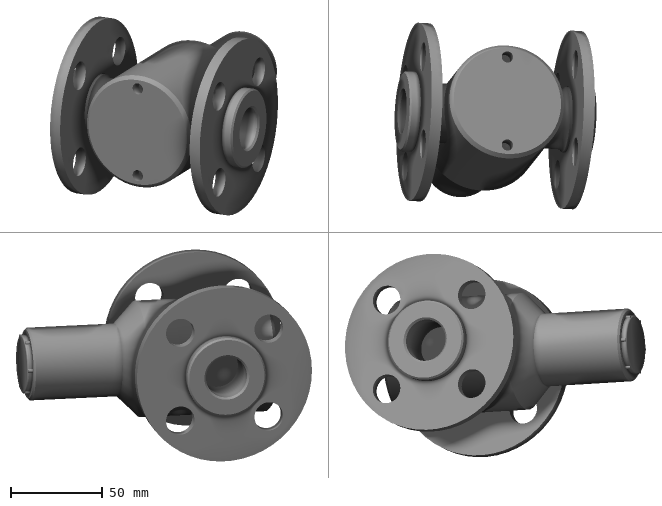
import cadquery as cq
import math


HOUSING_RADIUS = 64.0 / 2
HOUSING_FRONT_Y = -32.8
HOUSING_CHAMFER = 2.0
JOINT_Y = 21.6
FRONT_HOLE_DIAMETER = 6.3
FRONT_HOLE_OFFSET = 25.0
FRONT_HOLE_DEPTH = 7.7
SOCKET_FLOOR_X = 26.0

FLANGE_RADIUS = 98.0 / 2
FLANGE_THICKNESS = 6.1
FLANGE_INNER_X = 39.5
FLANGE_OUTER_X = FLANGE_INNER_X + FLANGE_THICKNESS
FLANGE_BORE_DIAMETER = 36.5
BOLT_HOLE_DIAMETER = 16.0
BOLT_SPACING = 49.5

STUB_END_X = 104.5 / 2
NECK_RADIUS = 32.8 / 2
COLLAR_RADIUS = 36.0 / 2
COLLAR_INNER_X = 38.2
COLLAR_FILLET_RADIUS = 3.0
RIM_RADIUS = 44.0 / 2
RIM_OUTER_CHAMFER = 0.9
RIM_INNER_CHAMFER = 0.6
BORE_RADIUS = 23 / 2
BORE_CHAMFER = 1.0

OVERALL_LENGTH = 153.2
MOTOR_RADIUS = 40.0 / 2
CONE_START_Y = 39.7
CONE_END_Y = CONE_START_Y + HOUSING_RADIUS - MOTOR_RADIUS
CAP_END_Y = OVERALL_LENGTH - FLANGE_RADIUS
CAP_HEIGHT = 2.9
MOTOR_END_Y = CAP_END_Y - CAP_HEIGHT
MOTOR_CHAMFER = 1.0
CAP_RADIUS = 16.1
CAP_FILLET_RADIUS = 0.9
RIB_COUNT = 6
RIB_RADIUS = 1.0
RIB_CIRCLE_RADIUS = 16.0
RIB_TOP_GAP = 0.3


def cylinder_y(radius, start_y, end_y):
    """Cylinder on the Y axis between two Y positions."""
    return cq.Workplane("XZ", origin=(0, start_y, 0)).circle(radius).extrude(start_y - end_y)


def cylinder_x(radius, start_x, end_x):
    """Cylinder on the X axis between two X positions."""
    return cq.Workplane("YZ", origin=(start_x, 0, 0)).circle(radius).extrude(end_x - start_x)


def make_housing():
    """Cylindrical housing with two flat-bottomed pipe sockets and two blind front holes."""
    body = cylinder_y(HOUSING_RADIUS, HOUSING_FRONT_Y, JOINT_Y)
    body = body.faces("<Y").chamfer(HOUSING_CHAMFER)
    for side in (-1, 1):
        body = body.cut(cylinder_x(NECK_RADIUS, side * SOCKET_FLOOR_X, side * HOUSING_RADIUS))
    front_holes = (
        cq.Workplane("XZ", origin=(0, HOUSING_FRONT_Y, 0))
        .pushPoints([(0, -FRONT_HOLE_OFFSET), (0, FRONT_HOLE_OFFSET)])
        .circle(FRONT_HOLE_DIAMETER / 2)
        .extrude(-FRONT_HOLE_DEPTH)
    )
    return body.cut(front_holes)


def make_cover():
    """Ring that tapers from the housing radius to the motor radius."""
    outline = [
        (0, JOINT_Y),
        (HOUSING_RADIUS, JOINT_Y),
        (HOUSING_RADIUS, CONE_START_Y),
        (MOTOR_RADIUS, CONE_END_Y),
        (0, CONE_END_Y),
    ]
    return cq.Workplane("XY").polyline(outline).close().revolve(360, (0, 0, 0), (0, 1, 0))


def make_motor():
    """Motor cylinder with a rounded end cap that has small half-round ribs."""
    motor = cylinder_y(MOTOR_RADIUS, CONE_END_Y, MOTOR_END_Y).faces(">Y").chamfer(MOTOR_CHAMFER)
    cap = cylinder_y(CAP_RADIUS, MOTOR_END_Y, CAP_END_Y).faces(">Y").edges().fillet(CAP_FILLET_RADIUS)
    motor = motor.union(cap)
    rib = cylinder_y(RIB_RADIUS, MOTOR_END_Y, CAP_END_Y - RIB_TOP_GAP).translate((RIB_CIRCLE_RADIUS, 0, 0))
    for index in range(RIB_COUNT):
        motor = motor.union(rib.rotate((0, 0, 0), (0, 1, 0), index * 360 / RIB_COUNT))
    return motor


def make_flange():
    """Loose flange on the +X side, with four bolt holes."""
    return (
        cq.Workplane("YZ", origin=(FLANGE_INNER_X, 0, 0))
        .circle(FLANGE_RADIUS)
        .circle(FLANGE_BORE_DIAMETER / 2)
        .extrude(FLANGE_THICKNESS)
        .faces(">X")
        .workplane()
        .rect(BOLT_SPACING, BOLT_SPACING, forConstruction=True)
        .vertices()
        .hole(BOLT_HOLE_DIAMETER)
    )


def make_stub():
    """Bored pipe stub on the +X side: neck, concave fillet, collar and end rim."""
    collar_step = COLLAR_RADIUS - NECK_RADIUS
    fillet_angle = math.acos(1 - collar_step / COLLAR_FILLET_RADIUS)

    def fillet_point(angle):
        return (
            fillet_start_x + COLLAR_FILLET_RADIUS * math.sin(angle),
            NECK_RADIUS + COLLAR_FILLET_RADIUS * (1 - math.cos(angle)),
        )

    fillet_start_x = COLLAR_INNER_X - COLLAR_FILLET_RADIUS * math.sin(fillet_angle)
    profile = (
        cq.Workplane("XY")
        .moveTo(SOCKET_FLOOR_X, BORE_RADIUS)
        .lineTo(SOCKET_FLOOR_X, NECK_RADIUS)
        .lineTo(fillet_start_x, NECK_RADIUS)
        .threePointArc(fillet_point(fillet_angle / 2), fillet_point(fillet_angle))
        .lineTo(FLANGE_OUTER_X, COLLAR_RADIUS)
        .lineTo(FLANGE_OUTER_X, RIM_RADIUS - RIM_INNER_CHAMFER)
        .lineTo(FLANGE_OUTER_X + RIM_INNER_CHAMFER, RIM_RADIUS)
        .lineTo(STUB_END_X - RIM_OUTER_CHAMFER, RIM_RADIUS)
        .lineTo(STUB_END_X, RIM_RADIUS - RIM_OUTER_CHAMFER)
        .lineTo(STUB_END_X, BORE_RADIUS + BORE_CHAMFER)
        .lineTo(STUB_END_X - BORE_CHAMFER, BORE_RADIUS)
        .close()
    )
    return profile.revolve(360, (0, 0, 0), (1, 0, 0))


housing = make_housing()
cover = make_cover()
motor = make_motor()

flanges = []
stubs = []
for turn in (0, 180):
    flanges.append(make_flange().rotate((0, 0, 0), (0, 0, 1), turn).val())
    stubs.append(make_stub().rotate((0, 0, 0), (0, 0, 1), turn).val())

result = cq.Compound.makeCompound([housing.val(), cover.val(), motor.val(), *flanges, *stubs])